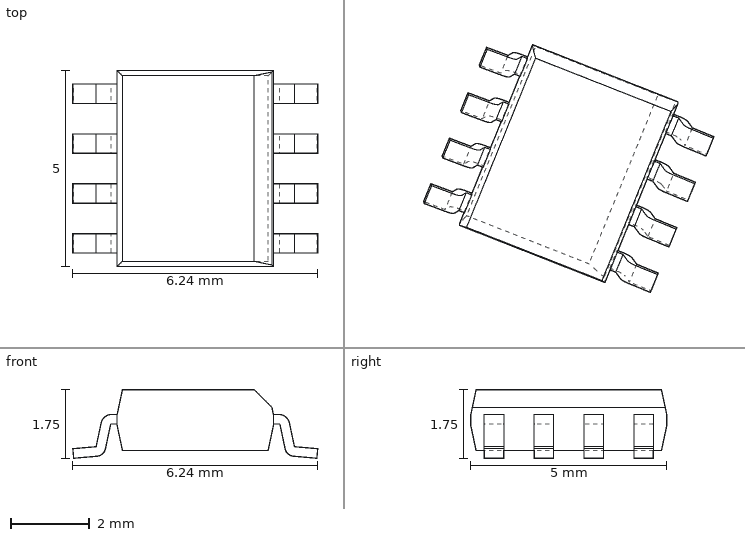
import cadquery as cq
import math

BODY_WIDTH = 3.99
BODY_LENGTH = 5.0
BODY_TOP = 1.75
BODY_BOTTOM = 0.20
BAND_HEIGHT = 0.25
DRAFT_ANGLE = 12.0
BEVEL_TOP_X = 1.5

LEADS_PER_SIDE = 4
LEAD_PITCH = 1.27
LEAD_WIDTH = 0.5
LEAD_THICKNESS = 0.25
LEAD_SPAN = 6.24
SHOULDER_TOP = 1.123
SHOULDER_BEND_X = 2.15
SHOULDER_RADIUS = 0.285
ANKLE_RADIUS = 0.25
LEG_ANGLE = 12.0
FOOT_ANGLE = 5.0
LEAD_EMBED = 0.3

body_half_height = (BODY_TOP - BODY_BOTTOM - BAND_HEIGHT) / 2
band_bottom = BODY_BOTTOM + body_half_height
band_top = band_bottom + BAND_HEIGHT


def drafted_half(base_z, direction):
    """Tapered half of the body, growing up (+1) or down (-1) from the band."""
    return (
        cq.Workplane("XY", origin=(0, 0, base_z))
        .rect(BODY_WIDTH, BODY_LENGTH)
        .extrude(direction * body_half_height, taper=DRAFT_ANGLE)
    )


def make_body():
    band = (
        cq.Workplane("XY", origin=(0, 0, band_bottom))
        .rect(BODY_WIDTH, BODY_LENGTH)
        .extrude(BAND_HEIGHT)
    )
    body = band.union(drafted_half(band_top, 1)).union(drafted_half(band_bottom, -1))

    bevel_leg = BODY_WIDTH / 2 - BEVEL_TOP_X
    bevel = (
        cq.Workplane("XZ")
        .moveTo(BEVEL_TOP_X, BODY_TOP)
        .lineTo(BEVEL_TOP_X + bevel_leg, BODY_TOP)
        .lineTo(BEVEL_TOP_X + bevel_leg, BODY_TOP - bevel_leg)
        .close()
        .extrude(BODY_LENGTH / 2, both=True)
    )
    return body.cut(bevel)


def offset(point, direction, distance):
    """Point moved by a distance along a unit direction in the XZ plane."""
    return (point[0] + distance * direction[0], point[1] + distance * direction[1])


def outer_corner(inside_corner, first_normal, second_normal):
    """Sharp outside corner of a bend in a strip one lead thickness thick."""
    total = (first_normal[0] + second_normal[0], first_normal[1] + second_normal[1])
    reach = 2 * LEAD_THICKNESS / math.hypot(*total) ** 2
    return offset(inside_corner, total, reach)


def make_lead():
    """Lead on the +X side, centred on Y = 0."""
    leg = math.radians(LEG_ANGLE)
    foot = math.radians(FOOT_ANGLE)
    leg_lean = math.tan(leg)
    foot_slope = math.tan(foot)
    up = (0.0, 1.0)
    leg_outward = (math.cos(leg), math.sin(leg))
    leg_inward = (-math.cos(leg), -math.sin(leg))
    foot_down = (-math.sin(foot), -math.cos(foot))

    shoulder_inside = (SHOULDER_BEND_X, SHOULDER_TOP - LEAD_THICKNESS)
    shoulder_outside = outer_corner(shoulder_inside, up, leg_outward)

    tip_upper = (LEAD_SPAN / 2, LEAD_THICKNESS * math.cos(foot))
    tip_lower = offset(tip_upper, foot_down, LEAD_THICKNESS)

    foot_rise = foot_slope * (tip_upper[0] - shoulder_outside[0])
    leg_drop = (shoulder_outside[1] - tip_upper[1] - foot_rise) / (1 - foot_slope * leg_lean)
    ankle_inside = (shoulder_outside[0] + leg_drop * leg_lean, shoulder_outside[1] - leg_drop)
    ankle_outside = outer_corner(ankle_inside, foot_down, leg_inward)

    root_x = BODY_WIDTH / 2 - LEAD_EMBED
    outline = [
        (root_x, SHOULDER_TOP),
        shoulder_outside,
        ankle_inside,
        tip_upper,
        tip_lower,
        ankle_outside,
        shoulder_inside,
        (root_x, shoulder_inside[1]),
    ]
    lead = cq.Workplane("XZ").polyline(outline).close().extrude(LEAD_WIDTH / 2, both=True)

    for corner, radius in ((shoulder_outside, SHOULDER_RADIUS), (ankle_outside, ANKLE_RADIUS)):
        nearest = cq.selectors.NearestToPointSelector((corner[0], 0, corner[1]))
        lead = lead.edges("|Y").edges(nearest).fillet(radius)
    return lead


result = make_body()
right_lead = make_lead()
left_lead = right_lead.mirror("YZ")
for index in range(LEADS_PER_SIDE):
    lead_y = (index - (LEADS_PER_SIDE - 1) / 2) * LEAD_PITCH
    for lead in (right_lead, left_lead):
        result = result.union(lead.translate((0, lead_y, 0)))